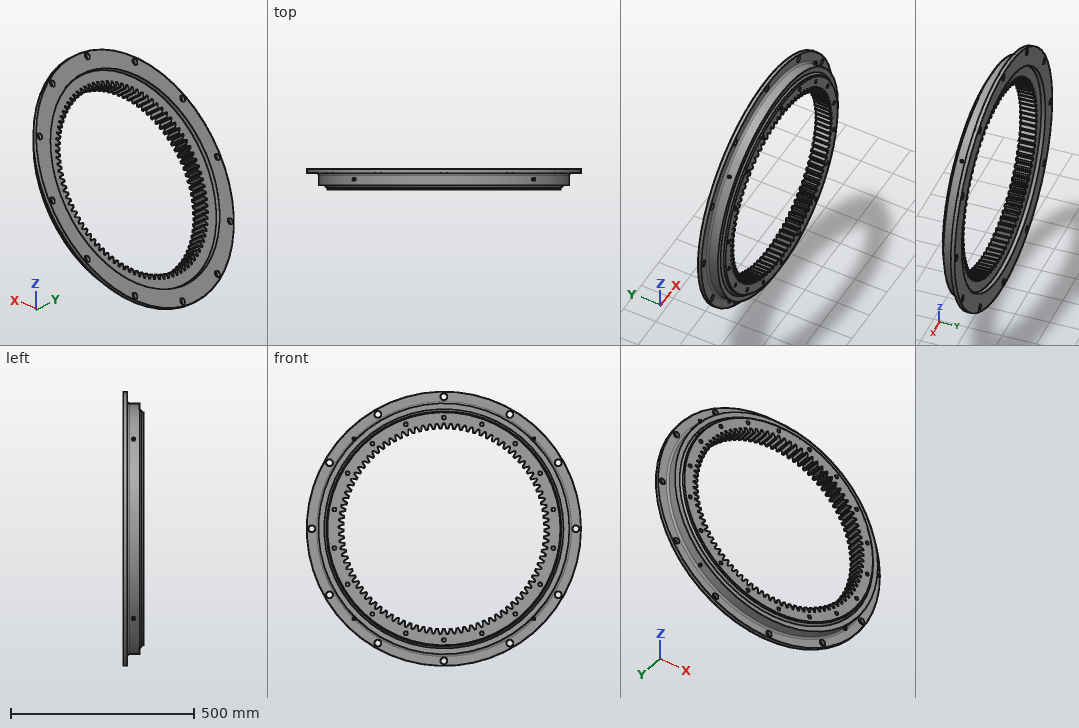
import cadquery as cq
import math



total_width = 56.0
back_y = total_width / 2
front_y = -total_width / 2

flange_radius = 374.0
flange_thickness = 11.0
body_radius = 342.0
outer_ring_width = 45.0
flange_fillet = 5.6
flange_front_y = back_y - flange_thickness
body_front_y = back_y - outer_ring_width

flange_hole_count = 12
flange_hole_diameter = 18.0
flange_hole_circle_radius = 360.0

inner_ring_radius = 318.0
inner_ring_width = 45.0
inner_ring_back_y = front_y + inner_ring_width

ring_hole_count = 18
ring_hole_diameter = 10.5
ring_hole_circle_radius = 303.0
ring_hole_depth = 21.0
drill_point_angle = 118.0

tooth_count = 93
tip_radius = 273.0
root_radius = 286.5
pitch_radius = 279.0
pressure_angle = math.radians(20)

running_gap = 1.9
bore_radius = inner_ring_radius + running_gap
seal_outer_radius = 326.0
seal_lip_projection = 6.0
seal_seat_depth = 6.0
seal_lip_y = body_front_y - seal_lip_projection
seal_seat_y = body_front_y + seal_seat_depth

nipple_count = 4
nipple_start_angle = 45.0
nipple_y = 0.0
shank_diameter = 6.0
shank_depth = 11.0
shank_projection = 4.0
head_diameter = 8.0
head_rim = 2.0
head_tip_diameter = 3.0
head_taper_length = 3.0
shank_inner_end = body_radius - shank_depth
head_start = body_radius + shank_projection


def revolve_about_y(profile):
    """Turn a closed (radius, y) profile once around the bearing axis."""
    return profile.close().revolve(360, (0, 0, 0), (0, 1, 0))


def axial_cylinder(radius, y_start, y_end):
    """Solid cylinder on the bearing axis between two Y positions."""
    return cq.Workplane("XZ", origin=(0, y_end, 0)).circle(radius).extrude(y_end - y_start)


def nipple_angles():
    return [nipple_start_angle + i * 360 / nipple_count for i in range(nipple_count)]


def place_radially(shape, angle):
    """Turn a shape built along +X to an angle around the bearing axis."""
    return shape.rotate((0, 0, 0), (0, 1, 0), -angle)


def radial_cylinder(diameter, start_radius, end_radius):
    """Cylinder along +X between two distances from the bearing axis."""
    base = cq.Workplane("YZ", origin=(start_radius, nipple_y, 0)).circle(diameter / 2)
    return base.extrude(end_radius - start_radius)


def make_outer_ring():
    fillet_middle = flange_fillet * (1 - math.sqrt(0.5))
    ring = revolve_about_y(
        cq.Workplane("XY")
        .moveTo(bore_radius, back_y)
        .lineTo(flange_radius, back_y)
        .lineTo(flange_radius, flange_front_y)
        .lineTo(body_radius + flange_fillet, flange_front_y)
        .threePointArc(
            (body_radius + fillet_middle, flange_front_y - fillet_middle),
            (body_radius, flange_front_y - flange_fillet),
        )
        .lineTo(body_radius, body_front_y)
        .lineTo(seal_outer_radius, body_front_y)
        .lineTo(seal_outer_radius, seal_seat_y)
        .lineTo(bore_radius, seal_seat_y)
    )
    flange_holes = (
        cq.Workplane("XZ", origin=(0, back_y, 0))
        .polarArray(flange_hole_circle_radius, 0, 360, flange_hole_count)
        .circle(flange_hole_diameter / 2)
        .extrude(flange_thickness)
    )
    ring = ring.cut(flange_holes)

    shank_hole = radial_cylinder(shank_diameter, shank_inner_end, head_start)
    for angle in nipple_angles():
        ring = ring.cut(place_radially(shank_hole, angle))
    return ring


def involute(angle):
    return math.tan(angle) - angle


def gap_half_angle(radius):
    """Half the angle of a tooth gap at a radius, for involute flanks."""
    base_radius = pitch_radius * math.cos(pressure_angle)
    flank_angle = math.acos(base_radius / radius)
    return math.pi / (2 * tooth_count) + involute(pressure_angle) - involute(flank_angle)


def gap_point(radius, side):
    """Point on one flank of the tooth gap that is centred on +Z."""
    angle = side * gap_half_angle(radius)
    return (radius * math.sin(angle), radius * math.cos(angle))


def make_gear_bore():
    """Cutter for the tip circle and all the tooth gaps outside it."""
    middle_radius = (tip_radius + root_radius) / 2
    outline = cq.Workplane("XZ", origin=(0, inner_ring_back_y, 0)).moveTo(*gap_point(tip_radius, -1))
    pitch_angle = 2 * math.pi / tooth_count

    def turned(point, angle):
        x, z = point
        return (
            x * math.cos(angle) + z * math.sin(angle),
            z * math.cos(angle) - x * math.sin(angle),
        )

    for i in range(tooth_count):
        turn = i * pitch_angle
        tooth_middle = turned((0, tip_radius), turn + pitch_angle / 2)
        outline = (
            outline
            .threePointArc(turned(gap_point(middle_radius, -1), turn), turned(gap_point(root_radius, -1), turn))
            .threePointArc(turned((0, root_radius), turn), turned(gap_point(root_radius, 1), turn))
            .threePointArc(turned(gap_point(middle_radius, 1), turn), turned(gap_point(tip_radius, 1), turn))
            .threePointArc(tooth_middle, turned(gap_point(tip_radius, -1), turn + pitch_angle))
        )
    return outline.close().extrude(inner_ring_width)


def make_tapped_hole():
    """Blind hole with a drill point, in the front face on the +Z side."""
    hole_radius = ring_hole_diameter / 2
    point_depth = hole_radius / math.tan(math.radians(drill_point_angle / 2))
    hole = (
        cq.Workplane("XY")
        .moveTo(0, front_y)
        .lineTo(hole_radius, front_y)
        .lineTo(hole_radius, front_y + ring_hole_depth)
        .lineTo(0, front_y + ring_hole_depth + point_depth)
    )
    return revolve_about_y(hole).translate((0, 0, ring_hole_circle_radius))


def make_inner_ring():
    ring = axial_cylinder(inner_ring_radius, front_y, inner_ring_back_y).cut(make_gear_bore())
    hole = make_tapped_hole()
    for i in range(ring_hole_count):
        ring = ring.cut(hole.rotate((0, 0, 0), (0, 1, 0), i * 360 / ring_hole_count))
    return ring


def make_front_seal():
    """Seal ring whose lip tapers forward towards the inner ring."""
    return revolve_about_y(
        cq.Workplane("XY")
        .moveTo(bore_radius, seal_seat_y)
        .lineTo(seal_outer_radius, seal_seat_y)
        .lineTo(seal_outer_radius, body_front_y)
        .lineTo(bore_radius, seal_lip_y)
    )


def make_grease_nipple(angle):
    """Round shank with a wider head that tapers to a blunt tip."""
    taper_start = head_start + head_rim
    tip = taper_start + head_taper_length
    shank_radius = shank_diameter / 2
    head_radius = head_diameter / 2
    nipple = (
        cq.Workplane("XY", origin=(0, nipple_y, 0))
        .moveTo(shank_inner_end, 0)
        .lineTo(shank_inner_end, shank_radius)
        .lineTo(head_start, shank_radius)
        .lineTo(head_start, head_radius)
        .lineTo(taper_start, head_radius)
        .lineTo(tip, head_tip_diameter / 2)
        .lineTo(tip, 0)
        .close()
        .revolve(360, (0, 0, 0), (1, 0, 0))
    )
    return place_radially(nipple, angle)


outer_ring = make_outer_ring()
inner_ring = make_inner_ring()
front_seal = make_front_seal()
grease_nipples = [make_grease_nipple(angle) for angle in nipple_angles()]

result = cq.Compound.makeCompound([
    outer_ring.val(),
    inner_ring.val(),
    front_seal.val(),
    *[nipple.val() for nipple in grease_nipples],
])